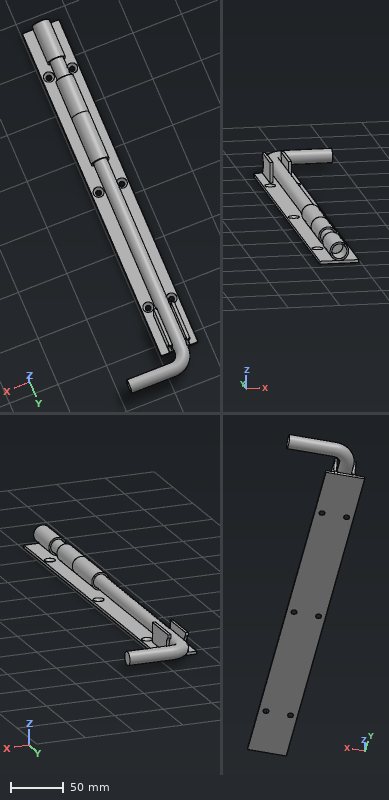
import cadquery as cq

PLATE_WIDTH = 38.0
PLATE_LENGTH = 350.0
PLATE_THICKNESS = 3.0

SCREW_PAIR_SPACING = 24.0
SCREW_PITCH = 125.0
SCREW_ROWS = 3
SCREW_END_MARGIN = 50.0
SCREW_HOLE_DIAMETER = 5.2
COUNTERSINK_DIAMETER = 10.4
COUNTERSINK_ANGLE = 90.0

LUG_TOP_Z = 23.0
LUG_LENGTH = 40.0
LUG_THICKNESS = 3.0
LUG_OUTER_WIDTH = 21.0
NOTCH_RADIUS = 9.0
NOTCH_DEPTH = 4.5

TUBE_DIAMETER = 18.0
TUBE_BORE = 14.5
ROD_DIAMETER = 14.0
AXIS_Z = PLATE_THICKNESS + TUBE_DIAMETER / 2
GUIDE_LENGTH = 40.0
GUIDE_GAP = 20.0
COLLAR_LENGTH = 50.0
FRONT_GUIDE_START = 0.0
REAR_GUIDE_START = FRONT_GUIDE_START + GUIDE_LENGTH + GUIDE_GAP
COLLAR_START = REAR_GUIDE_START + GUIDE_LENGTH

ROD_START_Y = 20.0
BEND_RADIUS = 15.0
HANDLE_OVERHANG = 26.77
HANDLE_Y = PLATE_LENGTH + HANDLE_OVERHANG - ROD_DIAMETER / 2
OVERALL_WIDTH = 79.29
HANDLE_END_X = OVERALL_WIDTH - PLATE_WIDTH / 2


def make_lugs():
    """Two upright lugs whose +Y ends have a round notch at the rod's height."""
    lug_x = (LUG_OUTER_WIDTH - LUG_THICKNESS) / 2
    lug_y = PLATE_LENGTH - LUG_LENGTH / 2
    lugs = (
        cq.Workplane("XY")
        .pushPoints([(-lug_x, lug_y), (lug_x, lug_y)])
        .rect(LUG_THICKNESS, LUG_LENGTH)
        .extrude(LUG_TOP_Z)
    )
    notch_y = PLATE_LENGTH + NOTCH_RADIUS - NOTCH_DEPTH
    notch = (
        cq.Workplane("YZ")
        .center(notch_y, AXIS_Z)
        .circle(NOTCH_RADIUS)
        .extrude(LUG_OUTER_WIDTH / 2, both=True)
    )
    return lugs.cut(notch)


def make_base():
    """Plate with its lugs and countersunk screw holes."""
    plate = cq.Workplane("XY").box(
        PLATE_WIDTH, PLATE_LENGTH, PLATE_THICKNESS, centered=(True, False, False)
    )
    screw_points = [
        (side * SCREW_PAIR_SPACING / 2, SCREW_END_MARGIN + row * SCREW_PITCH)
        for side in (-1, 1)
        for row in range(SCREW_ROWS)
    ]
    plate = (
        plate.faces(">Z")
        .workplane(origin=(0, 0, PLATE_THICKNESS))
        .pushPoints(screw_points)
        .cskHole(SCREW_HOLE_DIAMETER, COUNTERSINK_DIAMETER, COUNTERSINK_ANGLE)
    )
    return plate.union(make_lugs())


def make_tube(start_y, length):
    """Tube along Y, bored with clearance for the rod."""
    return (
        cq.Workplane("XZ", origin=(0, start_y, AXIS_Z))
        .circle(TUBE_DIAMETER / 2)
        .circle(TUBE_BORE / 2)
        .extrude(-length)
    )


def make_rod():
    """Round rod swept along the axis, round the bend and out along the handle."""
    path = (
        cq.Workplane("XY", origin=(0, 0, AXIS_Z))
        .moveTo(0, ROD_START_Y)
        .lineTo(0, HANDLE_Y - BEND_RADIUS)
        .radiusArc((BEND_RADIUS, HANDLE_Y), BEND_RADIUS)
        .lineTo(HANDLE_END_X, HANDLE_Y)
    )
    return cq.Workplane("XZ", origin=(0, ROD_START_Y, AXIS_Z)).circle(ROD_DIAMETER / 2).sweep(path)


base = make_base()
rod = make_rod()
guides = [make_tube(start_y, GUIDE_LENGTH) for start_y in (FRONT_GUIDE_START, REAR_GUIDE_START)]
collar = make_tube(COLLAR_START, COLLAR_LENGTH)

result = cq.Compound.makeCompound(
    [base.val(), rod.val(), *[guide.val() for guide in guides], collar.val()]
)